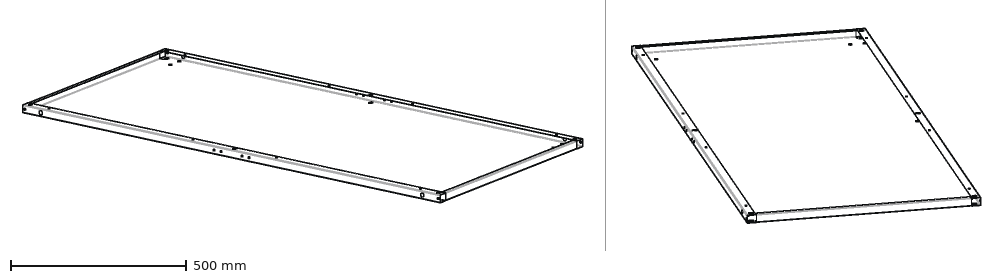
import cadquery as cq

length = 1483
width = 687.0
height = 25.0
sheet = 2.0

side_flange = 27.0
side_bend_radius = 3.0
end_flange = 13.0
end_bend_radius = 2.2
corner_gap = 1.0

slot_length = 15.0
slot_width = 9.0
slot_edge_distance = 16.0

flange_hole_diameter = 6.0
flange_hole_places = (148, 660.0)

floor_hole_diameter = 10.0
floor_hole_x = 680.0
floor_hole_y = 285.0

small_wall_hole_diameter = 6.0
small_wall_hole_places = (37.0, 62.0, 734.0)
large_wall_hole_diameter = 12.0
large_wall_hole_places = (678.0,)


def bar_with_round_edges(bar_width, bar_height, run, radius):
    """Bar along Y whose two edges on the -X side are rounded."""
    bar = cq.Workplane("XZ").rect(bar_width, bar_height).extrude(run / 2, both=True)
    return bar.edges("|Y and <X").fillet(radius)


def folded_edge(flange, run, bend_radius):
    """C-shaped edge along Y: wall at x = 0, with flange and floor strip reaching to x = flange."""
    outer = bar_with_round_edges(2 * flange, height, run, bend_radius)
    inner = bar_with_round_edges(2 * (flange - sheet), height - 2 * sheet, run, bend_radius - sheet)
    wall_half = cq.Workplane("XY").box(flange, run, height).translate((-flange / 2, 0, 0))
    return outer.cut(inner).intersect(wall_half).translate((flange, 0, height / 2))


def turned(body, angle):
    """Body turned about the vertical axis."""
    return body.rotate((0, 0, 0), (0, 0, 1), angle)


def mirrored(places):
    return [sign * place for place in places for sign in (-1, 1)]


def grid(x_places, y_places):
    return [(x, y) for x in x_places for y in y_places]


def side_wall_holes(diameter, places):
    """Cutters that pass through both side walls at half height."""
    points = [(x, height / 2) for x in mirrored(places)]
    return cq.Workplane("XZ").pushPoints(points).circle(diameter / 2).extrude(width, both=True)


floor_length = length - 2 * end_flange
floor_width = width - 2 * side_flange
result = cq.Workplane("XY").box(floor_length, floor_width, sheet).translate((0, 0, sheet / 2))

end_run = floor_width - 2 * corner_gap
end_edge = folded_edge(end_flange, end_run, end_bend_radius).translate((-length / 2, 0, 0))
side_edge = turned(folded_edge(side_flange, length, side_bend_radius), 90).translate((0, -width / 2, 0))
for edge in (end_edge, side_edge):
    result = result.union(edge).union(turned(edge, 180))

slot_x = length / 2 - slot_edge_distance
slot_y = width / 2 - slot_edge_distance
slot_points = grid((-slot_x, 0, slot_x), mirrored([slot_y]))
slots = cq.Workplane("XY").pushPoints(slot_points).slot2D(slot_length, slot_width, 90).extrude(height)
result = result.cut(slots)

flange_points = grid(mirrored(flange_hole_places), mirrored([slot_y]))
flange_plane = cq.Workplane("XY").workplane(offset=height - sheet)
result = result.cut(flange_plane.pushPoints(flange_points).circle(flange_hole_diameter / 2).extrude(sheet))

floor_points = grid(mirrored([floor_hole_x]), mirrored([floor_hole_y, slot_y]))
floor_plane = cq.Workplane("XY")
result = result.cut(floor_plane.pushPoints(floor_points).circle(floor_hole_diameter / 2).extrude(sheet))

result = result.cut(side_wall_holes(small_wall_hole_diameter, small_wall_hole_places))
result = result.cut(side_wall_holes(large_wall_hole_diameter, large_wall_hole_places))